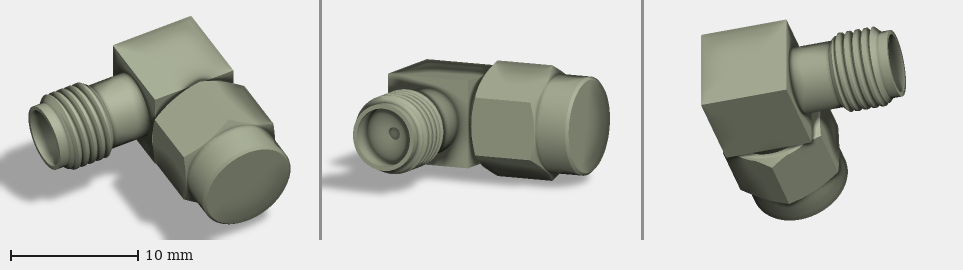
import cadquery as cq
import math

BODY_SIDE = 7.0
HALF_BODY = BODY_SIDE / 2

OVERALL_LENGTH = 15.9
END_X = OVERALL_LENGTH - HALF_BODY
NECK_RADIUS = 3.16
NECK_LENGTH = 0.48
NUT_SIDES = 6
NUT_ACROSS_CORNERS = 9.24
NUT_CORNER_RADIUS = NUT_ACROSS_CORNERS / 2
NUT_LENGTH = 5.61
NUT_FACE_RADIUS = 3.91
NUT_BEVEL_ANGLE = 30.0
RIM_RADIUS = 4.09
NUT_CLEARANCE_RADIUS = 3.5
NUT_CLEARANCE_DEPTH = NECK_LENGTH
SLEEVE_RADIUS = NUT_FACE_RADIUS
SLEEVE_CHAMFER = 0.2

END_Y = -11.48
TUBE_RADIUS = 2.65
BORE_RADIUS = 2.32
BORE_DEPTH = 1.91
CONTACT_RADIUS = 0.51
CONTACT_DEPTH = 0.32
THREAD_RADIUS = 3.16
THREAD_BACK_Y = -6.7
THREAD_FRONT_Y = -10.67
THREAD_PITCH = 0.7
ROOT_RADIUS = 2.83
GROOVE_WIDTH = 0.48
GROOVE_START_Y = -10.51
GROOVE_TURNS = 5.5
CUT_OVERLAP = 0.08


def bevel_run(rise):
    """Axial length of the nut bevel for a given change in radius."""
    return rise * math.tan(math.radians(NUT_BEVEL_ANGLE))


def along_x(start_x, radius, length):
    """Cylinder on the nut axis."""
    return cq.Workplane("YZ", origin=(start_x, 0, 0)).circle(radius).extrude(length)


def along_minus_y(start_y, radius, length):
    """Cylinder on the socket axis, running towards -Y."""
    return cq.Workplane("XZ", origin=(0, start_y, 0)).circle(radius).extrude(length)


def make_nut():
    """Hexagon with both ends bevelled, a thin conical rear rim and a clearance around the neck."""
    rear_x = HALF_BODY + NECK_LENGTH
    front_x = rear_x + NUT_LENGTH
    hexagon = (
        cq.Workplane("YZ", origin=(rear_x, 0, 0))
        .polygon(NUT_SIDES, NUT_ACROSS_CORNERS)
        .extrude(NUT_LENGTH)
        .rotate((0, 0, 0), (1, 0, 0), 90)
    )
    bevel = bevel_run(NUT_CORNER_RADIUS - NUT_FACE_RADIUS)
    envelope = (
        cq.Workplane("XY")
        .moveTo(rear_x, 0)
        .lineTo(rear_x, NUT_FACE_RADIUS)
        .lineTo(rear_x + bevel, NUT_CORNER_RADIUS)
        .lineTo(front_x - bevel, NUT_CORNER_RADIUS)
        .lineTo(front_x, NUT_FACE_RADIUS)
        .lineTo(front_x, 0)
        .close()
        .revolve(360, (0, 0, 0), (1, 0, 0))
    )
    rim_back_x = rear_x + bevel_run(RIM_RADIUS - NUT_FACE_RADIUS)
    rim = (
        cq.Workplane("XY")
        .moveTo(rear_x, 0)
        .lineTo(rear_x, NUT_FACE_RADIUS)
        .lineTo(rim_back_x, RIM_RADIUS)
        .lineTo(rim_back_x, 0)
        .close()
        .revolve(360, (0, 0, 0), (1, 0, 0))
    )
    clearance = along_x(rear_x, NUT_CLEARANCE_RADIUS, NUT_CLEARANCE_DEPTH)
    return hexagon.intersect(envelope).union(rim).cut(clearance)


def make_nut_side():
    """Neck, nut and front sleeve."""
    neck = along_x(0, NECK_RADIUS, HALF_BODY + NECK_LENGTH + NUT_CLEARANCE_DEPTH)
    sleeve_x = HALF_BODY + NECK_LENGTH + NUT_CLEARANCE_DEPTH
    sleeve = along_x(sleeve_x, SLEEVE_RADIUS, END_X - sleeve_x).faces(">X").chamfer(SLEEVE_CHAMFER)
    return neck.union(make_nut()).union(sleeve)


def make_thread_groove():
    """Right-hand V groove that starts above the axis and climbs towards +Y."""
    depth = THREAD_RADIUS - ROOT_RADIUS
    outer_radius = THREAD_RADIUS + CUT_OVERLAP
    half_width = GROOVE_WIDTH / 2 * (depth + CUT_OVERLAP) / depth
    helix = cq.Wire.makeHelix(THREAD_PITCH, THREAD_PITCH * GROOVE_TURNS, ROOT_RADIUS)
    groove = (
        cq.Workplane("XZ")
        .moveTo(ROOT_RADIUS, 0)
        .lineTo(outer_radius, half_width)
        .lineTo(outer_radius, -half_width)
        .close()
        .sweep(cq.Workplane(helix), isFrenet=True)
    )
    return (
        groove.rotate((0, 0, 0), (1, 0, 0), -90)
        .rotate((0, 0, 0), (0, 1, 0), -90)
        .translate((0, GROOVE_START_Y, 0))
    )


def make_thread():
    """Threaded collar with 45 degree ends."""
    length = THREAD_BACK_Y - THREAD_FRONT_Y
    collar = along_minus_y(THREAD_BACK_Y, THREAD_RADIUS, length)
    bevelled_envelope = collar.faces("<Y or >Y").chamfer(THREAD_RADIUS - TUBE_RADIUS)
    return collar.cut(make_thread_groove()).intersect(bevelled_envelope)


def make_socket_side():
    """Tube with its threaded collar."""
    return along_minus_y(0, TUBE_RADIUS, -END_Y).union(make_thread())


def make_bore():
    """Blind bore and the smaller contact hole in its floor."""
    bore = along_minus_y(END_Y + BORE_DEPTH, BORE_RADIUS, BORE_DEPTH)
    contact = along_minus_y(END_Y + BORE_DEPTH + CONTACT_DEPTH, CONTACT_RADIUS, CONTACT_DEPTH)
    return bore.union(contact)


body = cq.Workplane("XY").box(BODY_SIDE, BODY_SIDE, BODY_SIDE)
result = body.union(make_nut_side()).union(make_socket_side()).cut(make_bore())